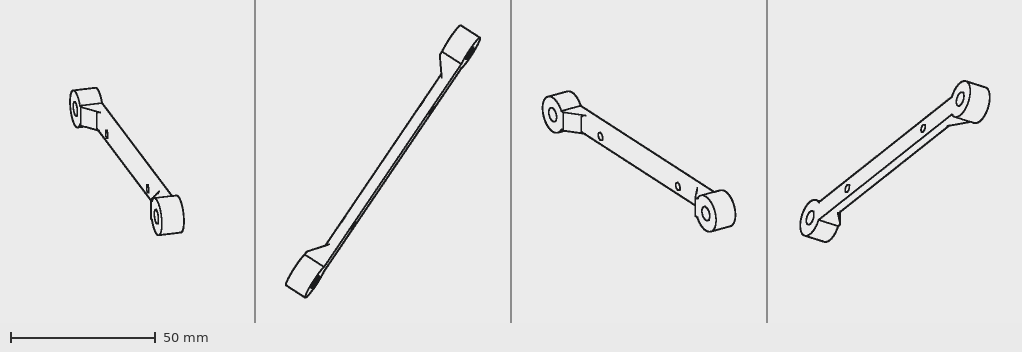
import cadquery as cq

length = 110
boss_diameter = 13.0
boss_depth = 8.0
boss_bore = 5.0
rail_height = 7.0
rail_depth = 4.0
rail_fillet = 1.0
pin_hole_diameter = 2.7
pin_hole_spacing = 49.1
ramp_top_inset = 13.2
ramp_foot_inset = 18.4

boss_x = (length - boss_diameter) / 2
ramp_top_x = length / 2 - ramp_top_inset
ramp_foot_x = length / 2 - ramp_foot_inset
ramp_run_per_depth = (ramp_top_x - ramp_foot_x) / (boss_depth - rail_depth)
ramp_root_x = ramp_foot_x - rail_depth * ramp_run_per_depth


def cylinder_along_y(x, diameter):
    """Cylinder from the back face to the front of the bosses."""
    return cq.Workplane("XZ").center(x, 0).circle(diameter / 2).extrude(boss_depth)


def make_rail():
    """Bar between the boss centres with rounded front edges."""
    rail = cq.Workplane("XY").box(2 * boss_x, rail_depth, rail_height)
    rail = rail.edges("|X and <Y").fillet(rail_fillet)
    return rail.translate((0, -rail_depth / 2, 0))


def make_ramp(side):
    """Sloped block joining the rail to a boss; its slope carries on to the back face."""
    outline = [
        (side * boss_x, 0),
        (side * boss_x, -boss_depth),
        (side * ramp_top_x, -boss_depth),
        (side * ramp_root_x, 0),
    ]
    return cq.Workplane("XY").polyline(outline).close().extrude(rail_height / 2, both=True)


result = make_rail()
for side in (-1, 1):
    result = result.union(make_ramp(side))
    result = result.union(cylinder_along_y(side * boss_x, boss_diameter))

for side in (-1, 1):
    result = result.cut(cylinder_along_y(side * boss_x, boss_bore))
    result = result.cut(cylinder_along_y(side * pin_hole_spacing / 2, pin_hole_diameter))